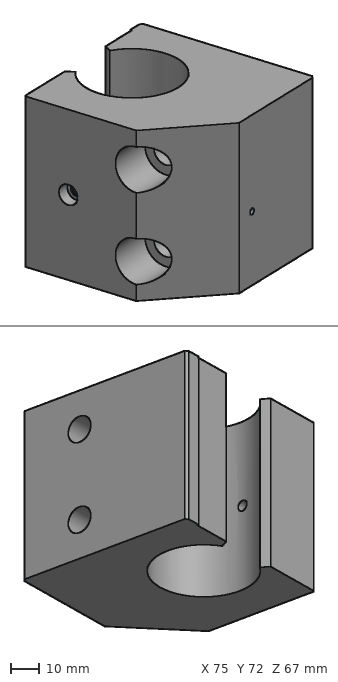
import cadquery as cq
import math

length = 75.0
depth = 72.0
height = 67.0
corner_cut = 26.0
back_chamfer = 1.0
front_chamfer = 0.45

pad_height = 0.6
pad_width = 6.5

bore_radius = 40.0 / 2
bore_x = 20.9
bore_y = depth - 35.0
mouth_inner_half = 10.5
mouth_outer_half = 12.4

mount_x = length - corner_cut
mount_spacing = 36.0
mount_diameter = 10.3
mount_head_diameter = 18.0
mount_head_depth = 18.0

screw_x = 19.5
screw_diameter = 4.1
screw_sink_diameter = 5.0
screw_head_diameter = 8.0
screw_head_depth = 5.0

pin_diameter = 2.5
pin_y = 34.0
pin_z = 29.0


def make_block():
    outline = (
        cq.Workplane("XY")
        .moveTo(pad_height + front_chamfer, 0)
        .lineTo(length - corner_cut, 0)
        .lineTo(length, corner_cut)
        .lineTo(length, depth - back_chamfer)
        .lineTo(length - back_chamfer, depth)
        .lineTo(back_chamfer, depth)
        .lineTo(0, depth - back_chamfer)
        .lineTo(0, depth - pad_width)
        .lineTo(pad_height, depth - pad_width)
        .lineTo(pad_height, front_chamfer)
        .close()
    )
    return outline.extrude(height)


def make_bore():
    """Bore plus the mouth that narrows toward it."""
    bore = cq.Workplane("XY").center(bore_x, bore_y).circle(bore_radius).extrude(height)
    lip_x = bore_x - math.sqrt(bore_radius**2 - mouth_inner_half**2)
    mouth = (
        cq.Workplane("XY")
        .moveTo(pad_height, bore_y - mouth_outer_half)
        .lineTo(lip_x, bore_y - mouth_inner_half)
        .lineTo(bore_x, bore_y)
        .lineTo(lip_x, bore_y + mouth_inner_half)
        .lineTo(pad_height, bore_y + mouth_outer_half)
        .close()
        .extrude(height)
    )
    return bore.union(mouth)


def drill_from_front(x, y, z, diameter, hole_depth):
    """Cylinder that starts at the given point and runs toward +Y."""
    return cq.Workplane(
        cq.Solid.makeCylinder(diameter / 2, hole_depth, cq.Vector(x, y, z), cq.Vector(0, 1, 0))
    )


def make_mount_hole(z):
    hole = drill_from_front(mount_x, 0, z, mount_diameter, depth)
    head = drill_from_front(mount_x, 0, z, mount_head_diameter, mount_head_depth)
    return hole.union(head)


def make_screw_hole():
    z = height / 2
    sink_depth = (screw_sink_diameter - screw_diameter) / 2
    hole = drill_from_front(screw_x, 0, z, screw_diameter, bore_y)
    head = drill_from_front(screw_x, 0, z, screw_head_diameter, screw_head_depth)
    sink = cq.Workplane(
        cq.Solid.makeCone(
            screw_sink_diameter / 2,
            screw_diameter / 2,
            sink_depth,
            cq.Vector(screw_x, screw_head_depth, z),
            cq.Vector(0, 1, 0),
        )
    )
    return hole.union(head).union(sink)


def make_pin_hole():
    return cq.Workplane(
        cq.Solid.makeCylinder(
            pin_diameter / 2, length - bore_x, cq.Vector(bore_x, pin_y, pin_z), cq.Vector(1, 0, 0)
        )
    )


result = make_block().cut(make_bore())
for side in (-1, 1):
    result = result.cut(make_mount_hole(height / 2 + side * mount_spacing / 2))
result = result.cut(make_screw_hole()).cut(make_pin_hole())